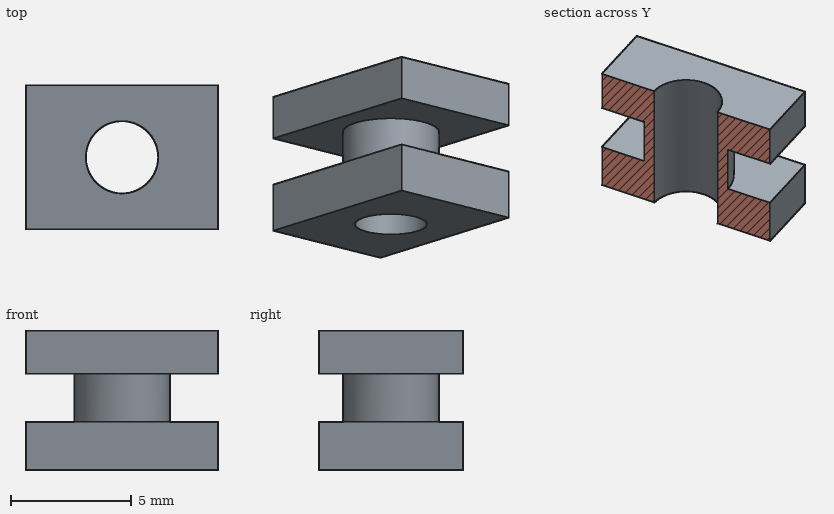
import cadquery as cq

plate_length = 8.0
plate_width = 6.0
bottom_thickness = 2.0
top_thickness = 1.8

neck_height = 2.0
neck_diameter = 4.0
bore_diameter = 3.0

neck_top = bottom_thickness + neck_height
total_height = neck_top + top_thickness


def plate(base_z, thickness):
    """Rectangular plate centred on the Z axis, standing on base_z."""
    return cq.Workplane("XY", origin=(0, 0, base_z)).rect(plate_length, plate_width).extrude(thickness)


def cylinder(base_z, diameter, height):
    """Cylinder about the Z axis, standing on base_z."""
    return cq.Workplane("XY", origin=(0, 0, base_z)).circle(diameter / 2).extrude(height)


spool = (
    plate(0, bottom_thickness)
    .union(cylinder(bottom_thickness, neck_diameter, neck_height))
    .union(plate(neck_top, top_thickness))
)
result = spool.cut(cylinder(0, bore_diameter, total_height))